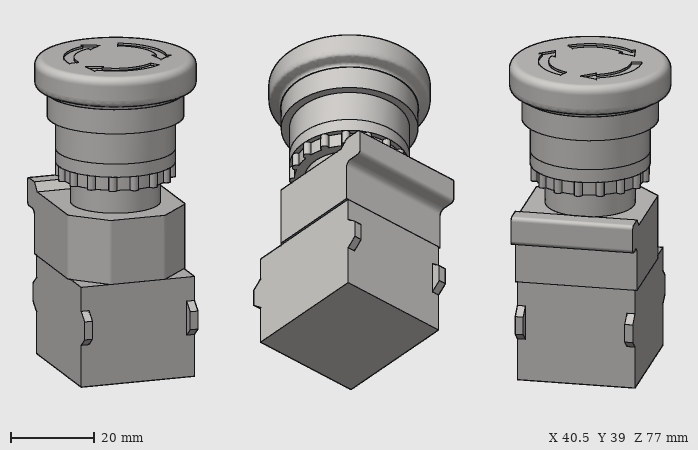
import cadquery as cq
import math


block_top = 25.0
adapter_top = 41.0
nut_bottom = 47.4
nut_flange_bottom = 51.0
nut_top = 54.3
collar_bottom = 62.4
collar_top = 68.5
knob_top = 77.0

knob_diameter = 39.0
knob_rounding = 2.0
knob_rim_bottom = 71.4
knob_base_diameter = 33.3
flare_upper_pull = 2.8
flare_lower_pull = 1.8

arrow_count = 3
arrow_depth = 0.5
arrow_inner_radius = 10.0
arrow_outer_radius = 12.5
arrow_tail_angle = 157.5
barb_inner_radius = 9.0
barb_outer_radius = 13.5
barb_inner_angle = 82.0
barb_outer_angle = 78.5
arrow_tip_radius = 11.2
arrow_tip_angle = 60.0

collar_diameter = 33.0
barrel_diameter = 29.0
neck_diameter = 21.77

nut_root_diameter = 26.5
rib_count = 16
rib_diameter = 2.0
rib_circle_diameter = barrel_diameter - rib_diameter

body_length = 32.0
adapter_width = 30.0
adapter_chamfer = 8.0
chamfer_edge_rounding = 1.0
lever_overhang = 5.0
lever_top = 43.0
lever_bottom = 36.0
lever_rounding = 1.0
lever_root_rounding = 1.5
lever_slope = lever_top - adapter_top

block_width = 29.0
tab_thickness = 2.0
tab_reach = 2.5
tab_top = 19.0
tab_bottom = 10.5
tab_slope_height = 2.0


def cylinder(diameter, bottom, top):
    return cq.Workplane("XY").workplane(offset=bottom).circle(diameter / 2).extrude(top - bottom)


def polar_point(radius, angle):
    return (radius * math.cos(math.radians(angle)), radius * math.sin(math.radians(angle)))


def barb_angle(radius):
    """Angle at which the straight back edge of the arrow head crosses a radius."""
    share = (radius - barb_inner_radius) / (barb_outer_radius - barb_inner_radius)
    return barb_inner_angle + share * (barb_outer_angle - barb_inner_angle)


def make_arrow():
    """Curved clockwise arrow that cuts down from the knob top."""
    outer_head_angle = barb_angle(arrow_outer_radius)
    inner_head_angle = barb_angle(arrow_inner_radius)
    outer_middle_angle = (arrow_tail_angle + outer_head_angle) / 2
    inner_middle_angle = (arrow_tail_angle + inner_head_angle) / 2
    return (
        cq.Workplane("XY")
        .workplane(offset=knob_top)
        .moveTo(*polar_point(arrow_outer_radius, arrow_tail_angle))
        .threePointArc(
            polar_point(arrow_outer_radius, outer_middle_angle),
            polar_point(arrow_outer_radius, outer_head_angle),
        )
        .lineTo(*polar_point(barb_outer_radius, barb_outer_angle))
        .lineTo(*polar_point(arrow_tip_radius, arrow_tip_angle))
        .lineTo(*polar_point(barb_inner_radius, barb_inner_angle))
        .lineTo(*polar_point(arrow_inner_radius, inner_head_angle))
        .threePointArc(
            polar_point(arrow_inner_radius, inner_middle_angle),
            polar_point(arrow_inner_radius, arrow_tail_angle),
        )
        .close()
        .extrude(-arrow_depth)
    )


def make_knob():
    """Mushroom head whose rounded rim runs in an S-shaped flare down to the collar."""
    radius = knob_diameter / 2
    flat_radius = radius - knob_rounding
    base_radius = knob_base_diameter / 2
    knob = (
        cq.Workplane("XZ")
        .moveTo(0, collar_top)
        .lineTo(base_radius, collar_top)
        .bezier([
            (base_radius, collar_top),
            (base_radius, collar_top + flare_lower_pull),
            (radius, knob_rim_bottom - flare_upper_pull),
            (radius, knob_rim_bottom),
        ])
        .lineTo(radius, knob_top - knob_rounding)
        .radiusArc((flat_radius, knob_top), -knob_rounding)
        .lineTo(0, knob_top)
        .close()
        .revolve(360, (0, 0, 0), (0, 1, 0))
    )
    arrow = make_arrow()
    for index in range(arrow_count):
        knob = knob.cut(arrow.rotate((0, 0, 0), (0, 0, 1), index * 360 / arrow_count))
    return knob


def make_housing():
    """Collar and barrel on a neck that runs through the nut to the adapter."""
    neck = cylinder(neck_diameter, adapter_top, nut_top)
    barrel = cylinder(barrel_diameter, nut_top, collar_bottom)
    collar = cylinder(collar_diameter, collar_bottom, collar_top)
    return neck.union(barrel).union(collar)


def make_nut():
    """Flanged ring around the neck with round grip ribs below the flange."""
    flange = cylinder(barrel_diameter, nut_flange_bottom, nut_top)
    root = cylinder(nut_root_diameter, nut_bottom, nut_flange_bottom)
    ribs = (
        cq.Workplane("XY")
        .workplane(offset=nut_bottom)
        .polarArray(rib_circle_diameter / 2, 0, 360, rib_count)
        .circle(rib_diameter / 2)
        .extrude(nut_flange_bottom - nut_bottom)
    )
    bore = cylinder(neck_diameter, nut_bottom, nut_top)
    return flange.union(root).union(ribs).cut(bore)


def make_adapter():
    """Block with two chamfered corners on +X and a hooked release lever along its -X top edge."""
    wall = body_length / 2
    lever_end = -wall - lever_overhang
    profile = (
        cq.Workplane("XZ")
        .moveTo(wall, block_top)
        .lineTo(wall, adapter_top)
        .lineTo(-wall + lever_slope, adapter_top)
        .lineTo(-wall, lever_top)
        .lineTo(lever_end + lever_rounding, lever_top)
        .radiusArc((lever_end, lever_top - lever_rounding), -lever_rounding)
        .lineTo(lever_end, lever_bottom + lever_rounding)
        .radiusArc((lever_end + lever_rounding, lever_bottom), -lever_rounding)
        .lineTo(-wall - lever_root_rounding, lever_bottom)
        .radiusArc((-wall, lever_bottom - lever_root_rounding), lever_root_rounding)
        .lineTo(-wall, block_top)
        .close()
        .extrude(adapter_width / 2, both=True)
    )
    chamfered = profile.edges("|Z and >X").chamfer(adapter_chamfer)
    plus_x_half = cq.selectors.BoxSelector((0, -adapter_width, 0), (body_length, adapter_width, knob_top))
    return chamfered.edges("|Z").edges(plus_x_half).fillet(chamfer_edge_rounding)


def make_tab_pair():
    """Flat strip that sticks out as a sloped latch tab at both X ends of the contact block."""
    wall = body_length / 2
    end = wall + tab_reach
    return (
        cq.Workplane("XZ")
        .polyline([
            (-wall, tab_bottom),
            (-end, tab_bottom + tab_slope_height),
            (-end, tab_top - tab_slope_height),
            (-wall, tab_top),
            (wall, tab_top),
            (end, tab_top - tab_slope_height),
            (end, tab_bottom + tab_slope_height),
            (wall, tab_bottom),
        ])
        .close()
        .extrude(tab_thickness / 2, both=True)
    )


def make_contact_block():
    block = cq.Workplane("XY").box(body_length, block_width, block_top, centered=(True, True, False))
    tab_offset = (block_width - tab_thickness) / 2
    for side in (-1, 1):
        block = block.union(make_tab_pair().translate((0, side * tab_offset, 0)))
    return block


knob = make_knob()
housing = make_housing()
nut = make_nut()
adapter = make_adapter()
contact_block = make_contact_block()

result = cq.Compound.makeCompound([
    knob.val(),
    housing.val(),
    nut.val(),
    adapter.val(),
    contact_block.val(),
])